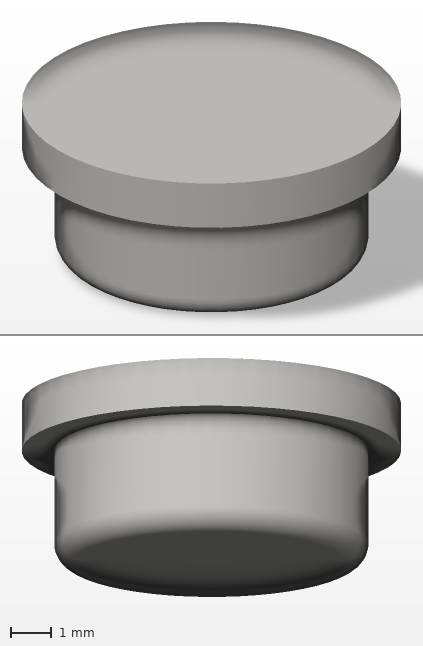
import cadquery as cq

flange_diameter = 9.3
flange_thickness = 1.2
plug_diameter = 7.7
total_height = 4.05
bottom_edge_radius = 0.5

plug_length = total_height - flange_thickness

plug = (
    cq.Workplane("XY")
    .circle(plug_diameter / 2)
    .extrude(plug_length)
    .faces("<Z")
    .edges()
    .fillet(bottom_edge_radius)
)

flange = (
    cq.Workplane("XY")
    .workplane(offset=plug_length)
    .circle(flange_diameter / 2)
    .extrude(flange_thickness)
)

result = plug.union(flange)